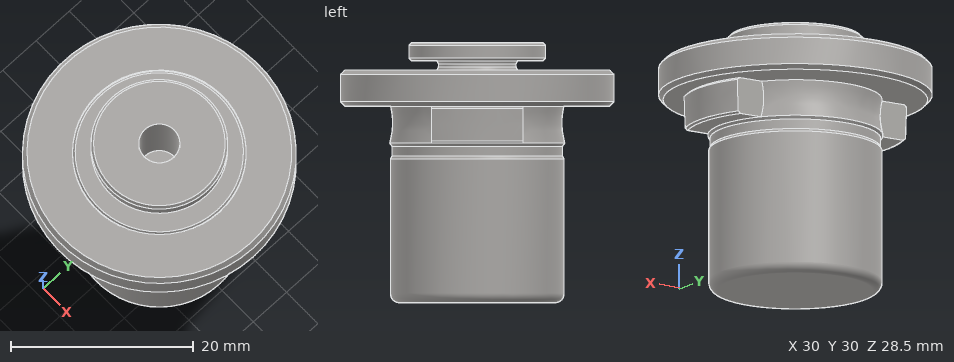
import cadquery as cq

TOTAL_HEIGHT = 28.5
CAP_THICKNESS = 2.0
FLANGE_TOP = 25.5
FLANGE_THICKNESS = 4.0
LUG_BOTTOM = 17.5
RELIEF_TOP = 17.13
RELIEF_BOTTOM = 16.05
BODY_TOP = 15.75
CAP_BOTTOM = TOTAL_HEIGHT - CAP_THICKNESS
FLANGE_BOTTOM = FLANGE_TOP - FLANGE_THICKNESS

BODY_RADIUS = 9.5
BODY_FILLET = 1.0
RELIEF_RADIUS = 9.35
WAIST_LOWER_RADIUS = 9.6
WAIST_MIDDLE_RADIUS = 9.3
WAIST_UPPER_RADIUS = 9.5

FLANGE_RADIUS = 15.0
FLANGE_CHAMFER = 0.5
GROOVE_RADIUS = BODY_RADIUS
GROOVE_SIZE = 0.3

CAP_RADIUS = 7.5
CAP_CHAMFER = 0.3
NECK_END_RADIUS = 4.4
NECK_MIDDLE_RADIUS = 4.25
NECK_STRAIGHT = 0.3
HOLE_RADIUS = 2.25
HOLE_DEPTH = 9.0

LUG_LOWER_RADIUS = 12.33
LUG_UPPER_RADIUS = 12.45
LUG_WIDTH = 10.0
LUG_CHAMFER_HEIGHT = 0.25
LUG_CHAMFER_DEPTH = 0.3


def disc(radius, bottom, height):
    return cq.Workplane("XY").workplane(offset=bottom).circle(radius).extrude(height)


def make_body():
    """Revolve the body, relief and waist as one stepped profile."""
    waist_middle = (LUG_BOTTOM + FLANGE_BOTTOM) / 2
    return (
        cq.Workplane("XZ")
        .moveTo(0, 0)
        .lineTo(BODY_RADIUS, 0)
        .lineTo(BODY_RADIUS, BODY_TOP)
        .lineTo(RELIEF_RADIUS, RELIEF_BOTTOM)
        .lineTo(RELIEF_RADIUS, RELIEF_TOP)
        .lineTo(WAIST_LOWER_RADIUS, LUG_BOTTOM)
        .threePointArc((WAIST_MIDDLE_RADIUS, waist_middle), (WAIST_UPPER_RADIUS, FLANGE_BOTTOM))
        .lineTo(0, FLANGE_BOTTOM)
        .close()
        .revolve(360, (0, 0), (0, 1))
        .faces("<Z")
        .edges()
        .fillet(BODY_FILLET)
    )


def make_lugs():
    """Cut a chamfered, slightly tapered rim to a bar along X, giving a lug on each side."""
    wall_bottom = LUG_BOTTOM + LUG_CHAMFER_HEIGHT
    wall_top = FLANGE_BOTTOM - LUG_CHAMFER_HEIGHT
    rim = (
        cq.Workplane("XZ")
        .moveTo(0, LUG_BOTTOM)
        .lineTo(LUG_LOWER_RADIUS - LUG_CHAMFER_DEPTH, LUG_BOTTOM)
        .lineTo(LUG_LOWER_RADIUS, wall_bottom)
        .lineTo(LUG_UPPER_RADIUS, wall_top)
        .lineTo(LUG_UPPER_RADIUS - LUG_CHAMFER_DEPTH, FLANGE_BOTTOM)
        .lineTo(0, FLANGE_BOTTOM)
        .close()
        .revolve(360, (0, 0), (0, 1))
    )
    bar = (
        cq.Workplane("XY")
        .workplane(offset=LUG_BOTTOM)
        .rect(2 * LUG_UPPER_RADIUS, LUG_WIDTH)
        .extrude(FLANGE_BOTTOM - LUG_BOTTOM)
    )
    return rim.intersect(bar)


def make_flange():
    flange = disc(FLANGE_RADIUS, FLANGE_BOTTOM, FLANGE_THICKNESS)
    flange = flange.faces("<Z or >Z").edges().chamfer(FLANGE_CHAMFER)
    groove = (
        cq.Workplane("XZ")
        .moveTo(GROOVE_RADIUS - GROOVE_SIZE, FLANGE_TOP)
        .lineTo(GROOVE_RADIUS, FLANGE_TOP)
        .lineTo(GROOVE_RADIUS, FLANGE_TOP - GROOVE_SIZE)
        .close()
        .revolve(360, (0, 0), (0, 1))
    )
    return flange.cut(groove)


def make_neck():
    """Revolve a short straight neck that flares towards the flange and the cap."""
    middle = (FLANGE_TOP + CAP_BOTTOM) / 2
    straight_bottom = middle - NECK_STRAIGHT / 2
    straight_top = middle + NECK_STRAIGHT / 2
    return (
        cq.Workplane("XZ")
        .moveTo(0, FLANGE_TOP)
        .lineTo(NECK_END_RADIUS, FLANGE_TOP)
        .lineTo(NECK_MIDDLE_RADIUS, straight_bottom)
        .lineTo(NECK_MIDDLE_RADIUS, straight_top)
        .lineTo(NECK_END_RADIUS, CAP_BOTTOM)
        .lineTo(0, CAP_BOTTOM)
        .close()
        .revolve(360, (0, 0), (0, 1))
    )


def make_cap():
    cap = disc(CAP_RADIUS, CAP_BOTTOM, CAP_THICKNESS)
    return cap.faces("<Z or >Z").edges().chamfer(CAP_CHAMFER)


hole = disc(HOLE_RADIUS, TOTAL_HEIGHT - HOLE_DEPTH, HOLE_DEPTH)
result = (
    make_body()
    .union(make_lugs())
    .union(make_flange())
    .union(make_neck())
    .union(make_cap())
    .cut(hole)
)